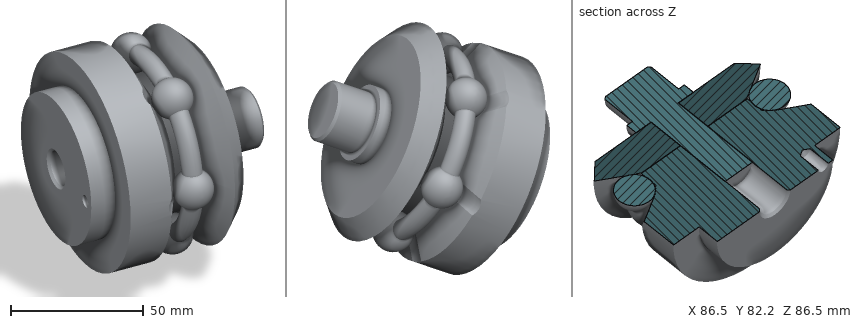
import cadquery as cq
import math

RIM_RADIUS = 43.25
GROOVE_SLOPE = math.radians(60)

BEAD_COUNT = 6
BEAD_DIAMETER = 16.0
BEAD_RADIUS = BEAD_DIAMETER / 2
RING_RADIUS = 35.0
CORD_RADIUS = 4.0

HUB_RADIUS = 30.0
HUB_FACE_Y = -40.3
HUB_LENGTH = 10.0
FRONT_RIM_Y = -12.9
NECK_HALF_WIDTH = 4.6
BORE_RADIUS = 6.9
BORE_CHAMFER = 1.0
BORE_DEPTH = 20.0
INDEX_HOLE_X = 25.0
INDEX_HOLE_RADIUS = 2.5
INDEX_HOLE_DEPTH = 10.0
DRILL_HALF_ANGLE = math.radians(59)

BACK_RIM_Y = 13.7
BACK_FACE_Y = 20.8
BACK_CHAMFER = BACK_FACE_Y - BACK_RIM_Y

COLLAR_RADIUS = 15.0
COLLAR_LENGTH = 5.0
SHAFT_RADIUS = 12.0
SHAFT_LENGTH = 16.1
SHAFT_CHAMFER = 1.0

NECK_RADIUS = RIM_RADIUS - (BACK_RIM_Y - NECK_HALF_WIDTH) * math.tan(GROOVE_SLOPE)
FRONT_NECK_Y = FRONT_RIM_Y + (RIM_RADIUS - NECK_RADIUS) / math.tan(GROOVE_SLOPE)
BORE_FLOOR_Y = HUB_FACE_Y + BORE_DEPTH


def revolve_about_y(points):
    """Solid of revolution from a closed (radius, y) outline."""
    return cq.Workplane("XY").polyline(points).close().revolve(360, (0, 0, 0), (0, 1, 0))


def cylinder_along_y(radius, start_y, end_y):
    return revolve_about_y([(0, start_y), (radius, start_y), (radius, end_y), (0, end_y)])


def around_axis(body):
    """Copies of a body at every bead position."""
    step = 360 / BEAD_COUNT
    return [body.rotate((0, 0, 0), (0, 1, 0), i * step) for i in range(BEAD_COUNT)]


def make_bead_ring():
    ring = cq.Workplane("XY").center(RING_RADIUS, 0).circle(CORD_RADIUS)
    ring = ring.revolve(360, (-RING_RADIUS, 0, 0), (-RING_RADIUS, 1, 0))
    bead = cq.Workplane("XY").sphere(BEAD_RADIUS).translate((RING_RADIUS, 0, 0))
    for copy in around_axis(bead):
        ring = ring.union(copy)
    return ring


def make_bead_channel():
    """Path of a bead leaving the ring outward, parallel to the front groove wall."""
    outward = cq.Vector(math.sin(GROOVE_SLOPE), -math.cos(GROOVE_SLOPE), 0)
    start = cq.Vector(RING_RADIUS, 0, 0)
    return cq.Workplane(cq.Solid.makeCylinder(BEAD_RADIUS, RIM_RADIUS, start, outward))


def make_index_hole():
    """Drilled hole with a conical bottom, beside the bore in the hub face."""
    bottom_y = HUB_FACE_Y + INDEX_HOLE_DEPTH
    tip_y = bottom_y + INDEX_HOLE_RADIUS / math.tan(DRILL_HALF_ANGLE)
    hole = revolve_about_y([
        (0, HUB_FACE_Y),
        (INDEX_HOLE_RADIUS, HUB_FACE_Y),
        (INDEX_HOLE_RADIUS, bottom_y),
        (0, tip_y),
    ])
    return hole.translate((INDEX_HOLE_X, 0, 0))


def make_front_disc(bead_ring):
    hub_end_y = HUB_FACE_Y + HUB_LENGTH
    disc = revolve_about_y([
        (BORE_RADIUS + BORE_CHAMFER, HUB_FACE_Y),
        (HUB_RADIUS, HUB_FACE_Y),
        (HUB_RADIUS, hub_end_y),
        (RIM_RADIUS, hub_end_y),
        (RIM_RADIUS, FRONT_RIM_Y),
        (NECK_RADIUS, FRONT_NECK_Y),
        (NECK_RADIUS, NECK_HALF_WIDTH),
        (BORE_RADIUS, NECK_HALF_WIDTH),
        (BORE_RADIUS, HUB_FACE_Y + BORE_CHAMFER),
    ])
    disc = disc.cut(make_index_hole())
    for channel in around_axis(make_bead_channel()):
        disc = disc.cut(channel)
    return disc.cut(bead_ring)


def make_back_disc(bead_ring):
    disc = revolve_about_y([
        (BORE_RADIUS, NECK_HALF_WIDTH),
        (NECK_RADIUS, NECK_HALF_WIDTH),
        (RIM_RADIUS, BACK_RIM_Y),
        (RIM_RADIUS - BACK_CHAMFER, BACK_FACE_Y),
        (BORE_RADIUS, BACK_FACE_Y),
    ])
    return disc.cut(bead_ring)


def make_shaft():
    """Spigot filling the bore of both discs, a collar against the back disc, and a journal."""
    collar_end_y = BACK_FACE_Y + COLLAR_LENGTH
    shaft_end_y = collar_end_y + SHAFT_LENGTH
    spigot = cylinder_along_y(BORE_RADIUS, BORE_FLOOR_Y, BACK_FACE_Y)
    collar = cylinder_along_y(COLLAR_RADIUS, BACK_FACE_Y, collar_end_y)
    journal = cylinder_along_y(SHAFT_RADIUS, collar_end_y, shaft_end_y)
    journal = journal.faces(">Y").chamfer(SHAFT_CHAMFER)
    return spigot.union(collar).union(journal)


bead_ring = make_bead_ring()
front_disc = make_front_disc(bead_ring)
back_disc = make_back_disc(bead_ring)
shaft = make_shaft()

result = cq.Compound.makeCompound([
    bead_ring.val(),
    front_disc.val(),
    back_disc.val(),
    shaft.val(),
])